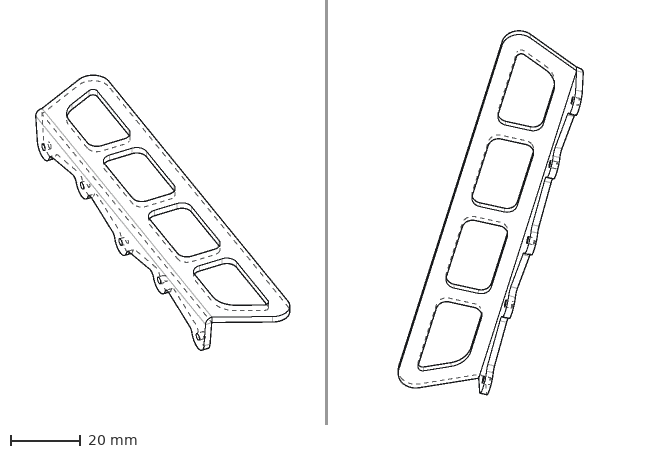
import cadquery as cq
import math

length = 126.0
depth = 25.0
height = 14.0
thickness = 2.0
bend_length = 109.9
plate_corner_radius = 5.0

rim_width = 5.0
window_height = 13.4
rib_width = 5.0
inner_window_width = 24.0
window_corner_radius = 3.0
slant_rim_width = 5.5
outer_window_tip_radius = 1.4
outer_window_heel_radius = 7.3

hole_pitch = 25.0
hole_diameter = 2.0
tab_radius = 4.0
tab_blend_radius = 2.0
high_hole_drop = 6.7
low_hole_drop = height - tab_radius
edge_drop_at_low_holes = 11.0
edge_drop_at_high_holes = 5.5

half_bend = bend_length / 2
window_back = depth - rim_width
window_front = window_back - window_height
tab_indices = range(-2, 3)


def is_low(index):
    return index % 2 == 0


def edge_drop(index):
    return edge_drop_at_low_holes if is_low(index) else edge_drop_at_high_holes


holes = [
    (index * hole_pitch, -(low_hole_drop if is_low(index) else high_hole_drop))
    for index in tab_indices
]


def tangent_point(point, center, radius, side):
    """Point where a line from `point` touches a circle; side +1 or -1 picks the tangent."""
    dx = point[0] - center[0]
    dy = point[1] - center[1]
    angle = math.atan2(dy, dx) + side * math.acos(radius / math.hypot(dx, dy))
    return (center[0] + radius * math.cos(angle), center[1] + radius * math.sin(angle))


bend_end = (half_bend, thickness)
corner_center = (length / 2 - plate_corner_radius, depth - plate_corner_radius)
slant_end = tangent_point(bend_end, corner_center, plate_corner_radius, 1)
slant_run = (slant_end[0] - bend_end[0]) / (slant_end[1] - bend_end[1])


def mirrored(point):
    return (-point[0], point[1])


def make_plate():
    corner_top = (corner_center[0], depth)
    corner_side = (length / 2, corner_center[1])
    return (
        cq.Workplane("XY", origin=(0, 0, -thickness))
        .moveTo(-half_bend, 0)
        .lineTo(half_bend, 0)
        .lineTo(*bend_end)
        .lineTo(*slant_end)
        .threePointArc(corner_side, corner_top)
        .lineTo(*mirrored(corner_top))
        .threePointArc(mirrored(corner_side), mirrored(slant_end))
        .lineTo(*mirrored(bend_end))
        .close()
        .extrude(thickness)
    )


def inner_window():
    """Rectangular opening on the right of the central rib."""
    center_x = (rib_width + inner_window_width) / 2
    center_y = (window_front + window_back) / 2
    return (
        cq.Workplane("XY", origin=(center_x, center_y, -thickness))
        .rect(inner_window_width, window_height)
        .extrude(thickness)
        .edges("|Z")
        .fillet(window_corner_radius)
    )


def outer_window():
    """Opening at the right end, with one side parallel to the slanted end."""
    inner_x = 1.5 * rib_width + inner_window_width
    rim_offset = slant_rim_width * math.hypot(1, slant_run)

    def slant_x(y):
        return half_bend + (y - thickness) * slant_run - rim_offset

    heel = (slant_x(window_front), window_front)
    tip = (slant_x(window_back), window_back)
    window = (
        cq.Workplane("XY", origin=(0, 0, -thickness))
        .polyline([(inner_x, window_front), heel, tip, (inner_x, window_back)])
        .close()
        .extrude(thickness)
    )
    window = window.edges("|Z and <X").fillet(window_corner_radius)
    window = window.edges("|Z and >X").fillet(outer_window_tip_radius)
    heel_edge = cq.selectors.NearestToPointSelector((*heel, -thickness / 2))
    return window.edges("|Z").edges(heel_edge).fillet(outer_window_heel_radius)


def flange_prism(sketch):
    """Extrude an outline on the front face backwards through the flange."""
    return sketch.extrude(-thickness)


def make_flange():
    front = cq.Workplane("XZ")
    web_points = [(-half_bend, 0), (half_bend, 0), (half_bend, -thickness)]
    end_hole = holes[-1]
    end_tangent = tangent_point((half_bend, -thickness), end_hole, tab_radius, -1)
    web_points += [end_tangent, end_hole]
    for index in reversed(tab_indices):
        web_points.append((index * hole_pitch, -edge_drop(index)))
    web_points += [mirrored(end_hole), mirrored(end_tangent), (-half_bend, -thickness)]
    flange = flange_prism(front.polyline(web_points).close())
    flange = flange.union(flange_prism(front.pushPoints(holes).circle(tab_radius)))

    slope = (edge_drop_at_low_holes - edge_drop_at_high_holes) / hole_pitch
    for index, (x, z) in zip(tab_indices, holes):
        rise = slope if is_low(index) else -slope
        gap = -edge_drop(index) - z
        a = 1 + rise**2
        b = gap * rise
        run = (-b + math.sqrt(b**2 - a * (gap**2 - tab_radius**2))) / a
        for side in (-1, 1):
            if abs(x + side * run) > end_hole[0]:
                continue
            corner = (x + side * run, thickness / 2, -edge_drop(index) + rise * run)
            nearest = cq.selectors.NearestToPointSelector(corner)
            flange = flange.edges("|Y").edges(nearest).fillet(tab_blend_radius)

    return flange.cut(flange_prism(front.pushPoints(holes).circle(hole_diameter / 2)))


def bend_rounding():
    """Material outside the rounded outer edge of the fold."""
    corner = cq.Workplane("XY").box(bend_length, thickness, thickness, centered=(True, False, False))
    corner = corner.translate((0, 0, -thickness))
    bend = (
        cq.Workplane("YZ", origin=(-half_bend, thickness, -thickness))
        .circle(thickness)
        .extrude(bend_length)
    )
    return corner.cut(bend)


plate = make_plate()
for window in (inner_window(), outer_window()):
    plate = plate.cut(window).cut(window.mirror("YZ"))

result = plate.union(make_flange()).cut(bend_rounding())